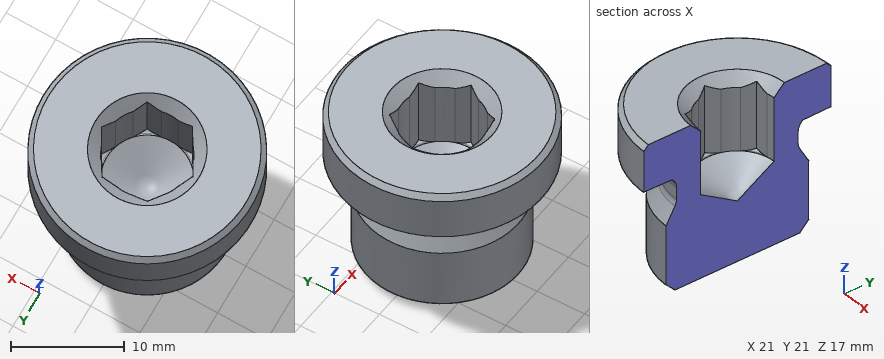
import cadquery as cq
import math

head_diameter = 21.0
total_height = 17.0
head_radius = head_diameter / 2

head_height = 5.0
head_chamfer = 0.5
underside_rise = 0.06

shank_radius = 16.0 / 2
shank_chamfer = 1.0
groove_radius = 13.7 / 2
groove_blend = 1.25
groove_top_depth = 6.0
groove_bottom_depth = 7.29
flank_angle = math.radians(30)

hex_across_flats = 8.0
hex_depth = 7.98
broach_diameter = 9.5
broach_corner_radius = 0.5
bore_diameter = 8.2
bore_radius = bore_diameter / 2
countersink_diameter = 10.5
countersink_radius = countersink_diameter / 2
drill_tip_angle = math.radians(118)


def blend_point(center_z, angle, side):
    """Point on a groove blend arc; angle starts at the groove wall, side is +1 up or -1 down."""
    return (
        groove_radius + groove_blend * (1 - math.cos(angle)),
        center_z + side * groove_blend * math.sin(angle),
    )


def make_body():
    """Revolve the half outline of the head, groove and shank."""
    underside_z = total_height - head_height
    groove_top_z = total_height - groove_top_depth
    groove_bottom_z = total_height - groove_bottom_depth

    upper_angle = math.asin((underside_z - groove_top_z) / groove_blend)
    upper_end = blend_point(groove_top_z, upper_angle, 1)
    upper_middle = blend_point(groove_top_z, upper_angle / 2, 1)
    lower_end = blend_point(groove_bottom_z, flank_angle, -1)
    lower_middle = blend_point(groove_bottom_z, flank_angle / 2, -1)
    flank_end_z = lower_end[1] - (shank_radius - lower_end[0]) / math.tan(flank_angle)

    return (
        cq.Workplane("XZ")
        .moveTo(0, total_height)
        .lineTo(head_radius - head_chamfer, total_height)
        .lineTo(head_radius, total_height - head_chamfer)
        .lineTo(head_radius, underside_z + underside_rise)
        .lineTo(*upper_end)
        .threePointArc(upper_middle, (groove_radius, groove_top_z))
        .lineTo(groove_radius, groove_bottom_z)
        .threePointArc(lower_middle, lower_end)
        .lineTo(shank_radius, flank_end_z)
        .lineTo(shank_radius, shank_chamfer)
        .lineTo(shank_radius - shank_chamfer, 0)
        .lineTo(0, 0)
        .close()
        .revolve(360, (0, 0, 0), (0, 1, 0))
    )


def make_hexagon():
    """Hexagonal prism with corners on the X axis and a rounded lower end."""
    across_corners = hex_across_flats / math.cos(math.radians(30))
    socket_floor = cq.Workplane("XY").workplane(offset=total_height - hex_depth)
    prism = socket_floor.polygon(6, across_corners).extrude(hex_depth)
    envelope = (
        socket_floor.circle(broach_diameter / 2)
        .extrude(hex_depth)
        .faces("<Z")
        .edges()
        .fillet(broach_corner_radius)
    )
    return prism.intersect(envelope)


def make_bore():
    """Drilled bore with a conical tip and a 45 degree countersink."""
    countersink_depth = countersink_radius - bore_radius
    bore_bottom_z = total_height - hex_depth
    tip_depth = bore_radius / math.tan(drill_tip_angle / 2)
    return (
        cq.Workplane("XZ")
        .moveTo(0, total_height)
        .lineTo(countersink_radius, total_height)
        .lineTo(bore_radius, total_height - countersink_depth)
        .lineTo(bore_radius, bore_bottom_z)
        .lineTo(0, bore_bottom_z - tip_depth)
        .close()
        .revolve(360, (0, 0, 0), (0, 1, 0))
    )


result = make_body().cut(make_bore()).cut(make_hexagon())